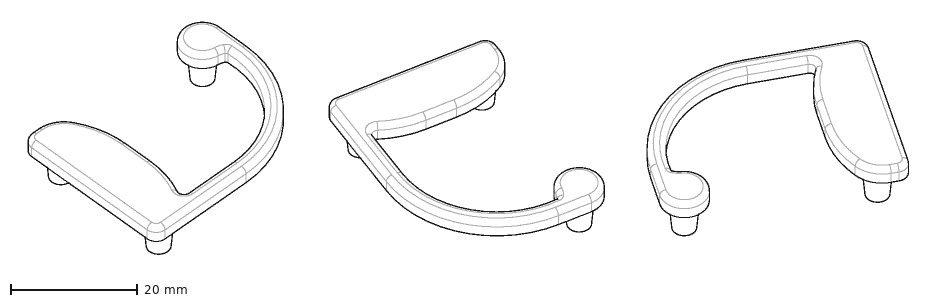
import cadquery as cq
import math

width = 30.0
length = 40.0
plate_thickness = 3.0
top_round = 1.0

arm_width = 3.0
arm_outer_radius = 20.0
arm_inner_radius = arm_outer_radius - arm_width
arm_center = (width - arm_outer_radius, length - arm_outer_radius)
arm_inner_x = width - arm_width
head_radius = 4.0
head_center = (head_radius, length - head_radius)

neck_radius = 3.0
neck_start_angle = -6.5
neck_corner_radius = 0.5

foot_height = 11.0
foot_crown_radius = 18.0
foot_flat_length = 5.6
foot_shoulder_radius = 6.0
foot_corner_radius = 2.0
inner_corner_radius = 1.0

peg_length = 6.0
peg_root_diameter = 5.0
peg_tip_diameter = 4.0
foot_peg_y = 4.5
peg_centers = [head_center, (head_radius, foot_peg_y), (width - head_radius, foot_peg_y)]


def polar(center, radius, degrees):
    """Point on a circle at an angle measured from +X."""
    angle = math.radians(degrees)
    return (center[0] + radius * math.cos(angle), center[1] + radius * math.sin(angle))


def direction(start, end):
    """Angle from one point to another, in degrees from +X."""
    return math.degrees(math.atan2(end[1] - start[1], end[0] - start[0]))


def circle_meeting(center_a, radius_a, center_b, radius_b):
    """Intersection of two circles on the left of the line from A to B."""
    distance = math.dist(center_a, center_b)
    along = (distance**2 + radius_a**2 - radius_b**2) / (2 * distance)
    offset = math.degrees(math.acos(along / radius_a))
    return polar(center_a, radius_a, direction(center_a, center_b) + offset)


def add_arc(outline, center, radius, start, end):
    """Extend the outline along an arc between two angles in degrees."""
    middle = polar(center, radius, (start + end) / 2)
    return outline.threePointArc(middle, polar(center, radius, end))


def make_plate():
    crown_y = foot_height - foot_crown_radius
    left_crown = ((width - foot_flat_length) / 2, crown_y)
    right_crown = ((width + foot_flat_length) / 2, crown_y)
    shoulder_reach = foot_crown_radius - foot_shoulder_radius
    shoulder_offset = left_crown[0] - foot_shoulder_radius
    shoulder = (foot_shoulder_radius, crown_y + math.sqrt(shoulder_reach**2 - shoulder_offset**2))
    shoulder_angle = direction(left_crown, shoulder)
    inner_x = arm_inner_x - inner_corner_radius
    inner_reach = foot_crown_radius + inner_corner_radius
    inner = (inner_x, crown_y + math.sqrt(inner_reach**2 - (inner_x - right_crown[0])**2))
    inner_angle = direction(right_crown, inner)

    neck = polar(head_center, head_radius + neck_radius, neck_start_angle)
    neck_corner = circle_meeting(
        arm_center, arm_inner_radius - neck_corner_radius,
        neck, neck_radius - neck_corner_radius,
    )
    neck_angle = direction(neck, neck_corner)
    arm_start_angle = direction(arm_center, neck_corner)

    corner = foot_corner_radius
    outline = cq.Workplane("XY").moveTo(corner, 0).lineTo(width - corner, 0)
    outline = add_arc(outline, (width - corner, corner), corner, -90, 0)
    outline = outline.lineTo(width, arm_center[1])
    outline = add_arc(outline, arm_center, arm_outer_radius, 0, 90)
    outline = outline.lineTo(head_center[0], length)
    outline = add_arc(outline, head_center, head_radius, 90, 360 + neck_start_angle)
    outline = add_arc(outline, neck, neck_radius, 180 + neck_start_angle, neck_angle)
    outline = add_arc(outline, neck_corner, neck_corner_radius, neck_angle, arm_start_angle)
    outline = add_arc(outline, arm_center, arm_inner_radius, arm_start_angle, 0)
    outline = outline.lineTo(arm_inner_x, inner[1])
    outline = add_arc(outline, inner, inner_corner_radius, 0, inner_angle - 180)
    outline = add_arc(outline, right_crown, foot_crown_radius, inner_angle, 90)
    outline = outline.lineTo(left_crown[0], foot_height)
    outline = add_arc(outline, left_crown, foot_crown_radius, 90, shoulder_angle)
    outline = add_arc(outline, shoulder, foot_shoulder_radius, shoulder_angle, 180)
    outline = outline.lineTo(0, corner)
    outline = add_arc(outline, (corner, corner), corner, 180, 270)
    plate = outline.close().extrude(plate_thickness)
    return plate.faces(">Z").edges().fillet(top_round)


def make_peg(center):
    """Peg below the plate, narrowing toward its tip."""
    peg = cq.Solid.makeCone(
        peg_root_diameter / 2, peg_tip_diameter / 2, peg_length,
        cq.Vector(*center, 0), cq.Vector(0, 0, -1),
    )
    return cq.Workplane(obj=peg)


result = make_plate()
for peg_center in peg_centers:
    result = result.union(make_peg(peg_center))